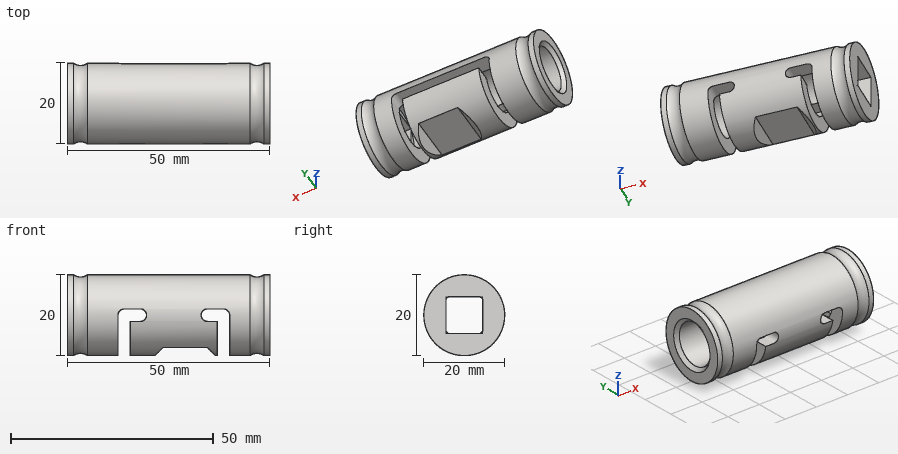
import cadquery as cq

length = 50.0
outer_diameter = 20.0
outer_radius = outer_diameter / 2

socket_diameter = 12.0
socket_depth = 42.5
mouth_chamfer = 1.0
square_side = 9.0

groove_start = 1.5
groove_width = 3.5
groove_depth = 0.55

slot_width = 3.0
slot_inset = 12.5
slots_middle = 26.25
slot_reach = 7.0
slot_radius = slot_width / 2

notch_center = 29.05
notch_flat_length = 11.0
notch_depth = 2.0


def make_body():
    """Cylinder along X starting at the origin."""
    return cq.Workplane("YZ").circle(outer_radius).extrude(length)


def make_socket():
    """Round socket with a chamfered mouth, opening at X = 0."""
    socket_radius = socket_diameter / 2
    profile = (
        cq.Workplane("XY")
        .moveTo(0, 0)
        .lineTo(0, socket_radius + mouth_chamfer)
        .lineTo(mouth_chamfer, socket_radius)
        .lineTo(socket_depth, socket_radius)
        .lineTo(socket_depth, 0)
        .close()
    )
    return profile.revolve(360, (0, 0, 0), (1, 0, 0))


def make_square_hole():
    """Square hole from the bottom of the socket through the far end."""
    return (
        cq.Workplane("YZ", origin=(socket_depth, 0, 0))
        .rect(square_side, square_side)
        .extrude(length - socket_depth)
    )


def make_groove():
    """Ring groove with an arc section, next to the end at X = 0."""
    groove_end = groove_start + groove_width
    groove_middle = groove_start + groove_width / 2
    profile = (
        cq.Workplane("XY")
        .moveTo(groove_start, outer_radius)
        .threePointArc((groove_middle, outer_radius - groove_depth), (groove_end, outer_radius))
        .close()
    )
    return profile.revolve(360, (0, 0, 0), (1, 0, 0))


def make_slot():
    """L-shaped slot through along Y: a leg open at the bottom and an arm with a round tip."""
    leg = (
        cq.Workplane("XZ")
        .rect(slot_width, outer_radius)
        .extrude(outer_radius, both=True)
        .translate((slot_inset + slot_radius, 0, -outer_radius / 2))
    )
    arm = (
        cq.Workplane("XZ")
        .center(slot_inset + slot_reach / 2, 0)
        .slot2D(slot_reach, slot_width)
        .extrude(outer_radius, both=True)
    )
    return leg.union(arm)


def make_back_slot():
    """Slot through the +Y half that joins the arms of the two L-shaped slots."""
    back_slot_length = 2 * (slots_middle - slot_inset)
    back_slot = (
        cq.Workplane("XY")
        .box(back_slot_length, outer_radius, slot_width, centered=(True, False, True))
        .edges("|Y and >Z")
        .fillet(slot_radius)
    )
    return back_slot.translate((slots_middle, 0, 0))


def make_notch():
    """Notch across the underside with 45 degree ends."""
    half_flat = notch_flat_length / 2
    half_mouth = half_flat + notch_depth
    profile = cq.Workplane("XZ").polyline([
        (notch_center - half_mouth, -outer_radius),
        (notch_center - half_flat, notch_depth - outer_radius),
        (notch_center + half_flat, notch_depth - outer_radius),
        (notch_center + half_mouth, -outer_radius),
    ]).close()
    return profile.extrude(outer_radius, both=True)


def mirrored_pair(feature, middle):
    """The feature together with its mirror image about the plane X = middle."""
    return feature.union(feature.mirror("YZ", (middle, 0, 0)))


result = make_body().cut(make_socket()).cut(make_square_hole())
result = result.cut(mirrored_pair(make_groove(), length / 2))
result = result.cut(mirrored_pair(make_slot(), slots_middle))
result = result.cut(make_back_slot()).cut(make_notch())